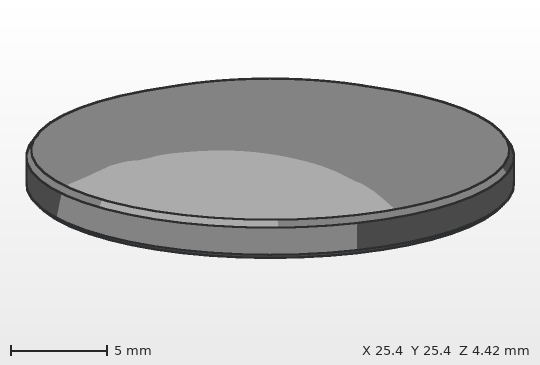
import cadquery as cq
import math

diameter = 25.4
height = 4.42

band_top = 1.73
dome_base = 2.08
top_bevel_width = 0.25
bottom_bevel = 0.25

radius = diameter / 2
dome_edge_radius = radius - top_bevel_width

dome_rise = height - dome_base
sphere_radius = (dome_edge_radius**2 + dome_rise**2) / (2 * dome_rise)
sphere_center_z = height - sphere_radius
arc_mid_x = dome_edge_radius / 2
arc_mid_z = sphere_center_z + math.sqrt(sphere_radius**2 - arc_mid_x**2)

half_section = (
    cq.Workplane("XZ")
    .lineTo(radius - bottom_bevel, 0)
    .lineTo(radius, bottom_bevel)
    .lineTo(radius, band_top)
    .lineTo(dome_edge_radius, dome_base)
    .threePointArc((arc_mid_x, arc_mid_z), (0, height))
    .close()
)
result = half_section.revolve(360, (0, 0, 0), (0, 1, 0))